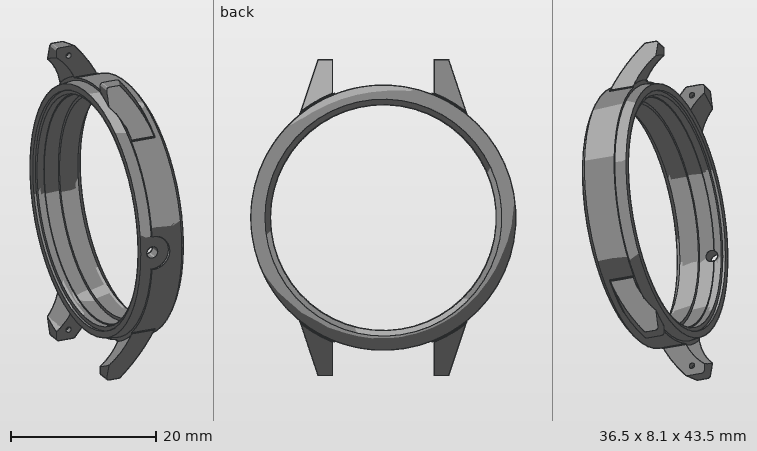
import cadquery as cq

case_radius = 18.25
bezel_front_radius = 17.75
bezel_step_radius = 17.95
bezel_depth = 1.55
band_back = 6.0
case_back = 7.0
back_rim_radius = 16.55
back_arc_mid_radius = 17.55
back_arc_mid_y = 6.6

bore_radius = 15.6
bore_back = 5.87
bore_lip_radius = 15.55
bore_lip_y = 6.25
back_mouth_radius = 16.3
seat_radius = 16.05
seat_depth = 3.52
step_radius = 16.23
step_depth = 1.4
lead_in_radius = 16.25
lead_in_depth = 0.83
crystal_radius = 16.85
crystal_depth = 0.4

overall_length = 43.5
lug_tip_z = overall_length / 2
lug_inner_x = 7.0
lug_tip_outer_x = 9.0
lug_root_outer_x = 11.53
lug_root_z = 14.2
lug_front_y = -1.1
lug_tip_fillet = 0.45
lug_root_radius = 17.4
root_front_y = bezel_depth
root_back_y = 5.0
lug_shoulder_radius = 18.55
front_corner_radius = 21.55
front_arc_mid = (19.7, 0.83)
back_arc_mid = (20.23, 3.85)
back_arc_end = (24.15, 0.25)

pad_inner_x = 6.7
pad_radius = 18.4
pad_back = 5.15

bar_hole_diameter = 0.8
bar_hole_depth = 0.85
bar_hole_y = 0.8
bar_hole_z = 20.35
crown_y = 1.75
crown_recess_radius = 2.45
crown_recess_floor = 17.8
crown_hole_radius = 0.83


def revolve_about_y(profile):
    """Turn a profile of (radius, y) points about the case axis."""
    return profile.close().revolve(360, (0, 0, 0), (0, 1, 0))


def make_ring():
    profile = (
        cq.Workplane("XY")
        .moveTo(crystal_radius, 0)
        .lineTo(bezel_front_radius, 0)
        .lineTo(bezel_step_radius, bezel_depth)
        .lineTo(case_radius, bezel_depth)
        .lineTo(case_radius, band_back)
        .threePointArc((back_arc_mid_radius, back_arc_mid_y), (back_rim_radius, case_back))
        .lineTo(back_mouth_radius, case_back)
        .lineTo(bore_lip_radius, bore_lip_y)
        .lineTo(bore_radius, bore_back)
        .lineTo(bore_radius, seat_depth)
        .lineTo(seat_radius, seat_depth)
        .lineTo(seat_radius, step_depth)
        .lineTo(step_radius, step_depth)
        .lineTo(step_radius, lead_in_depth)
        .lineTo(lead_in_radius, crystal_depth)
        .lineTo(crystal_radius, crystal_depth)
    )
    return revolve_about_y(profile)


def extrude_along_y(outline, y_start, y_end):
    """Extrude an outline of (x, z) points between two Y positions."""
    plane = cq.Workplane("XZ", origin=(0, y_end, 0))
    return plane.polyline(outline).close().extrude(y_end - y_start)


def make_lug_sweep():
    """Curved body of revolution from which all lugs are cut."""
    profile = (
        cq.Workplane("XY")
        .moveTo(lug_root_radius, root_front_y)
        .lineTo(lug_shoulder_radius, root_front_y)
        .threePointArc(front_arc_mid, (front_corner_radius, lug_front_y))
        .lineTo(back_arc_end[0], lug_front_y)
        .lineTo(*back_arc_end)
        .threePointArc(back_arc_mid, (lug_shoulder_radius, root_back_y))
        .lineTo(lug_root_radius, root_back_y)
    )
    return revolve_about_y(profile)


def make_lug():
    """Lug on the +X, +Z side, with its pad and blind spring bar hole."""
    outline = [
        (lug_inner_x, lug_root_z),
        (lug_root_outer_x, lug_root_z),
        (lug_tip_outer_x, lug_tip_z),
        (lug_inner_x, lug_tip_z),
    ]
    blank = extrude_along_y(outline, lug_front_y, pad_back)
    lug = blank.intersect(make_lug_sweep())
    for tip_edge in ("<Y", ">Y"):
        lug = lug.faces(">Z").edges(tip_edge).fillet(lug_tip_fillet)

    pad_outline = [
        (pad_inner_x, lug_root_z),
        (lug_root_outer_x, lug_root_z),
        (lug_root_outer_x, case_radius),
        (pad_inner_x, case_radius),
    ]
    pad = extrude_along_y(pad_outline, bezel_depth, pad_back)
    pad_shell = (
        cq.Workplane("XZ", origin=(0, pad_back, 0))
        .circle(pad_radius)
        .circle(lug_root_radius)
        .extrude(pad_back - bezel_depth)
    )
    bar_hole = (
        cq.Workplane("YZ", origin=(lug_inner_x, bar_hole_y, bar_hole_z))
        .circle(bar_hole_diameter / 2)
        .extrude(bar_hole_depth)
    )
    return lug.union(pad.intersect(pad_shell)).cut(bar_hole)


def make_crown_cut():
    """Round recess and radial hole for the crown on the +X side."""
    recess = (
        cq.Workplane("YZ", origin=(crown_recess_floor, crown_y, 0))
        .circle(crown_recess_radius)
        .extrude(case_radius - bore_radius)
    )
    hole = (
        cq.Workplane("YZ", origin=(bore_radius, crown_y, 0))
        .circle(crown_hole_radius)
        .extrude(case_radius - bore_radius)
    )
    return recess.union(hole)


lug = make_lug()
lug_pair = lug.union(lug.mirror("YZ"))
result = make_ring().union(lug_pair).union(lug_pair.mirror("XY")).cut(make_crown_cut())